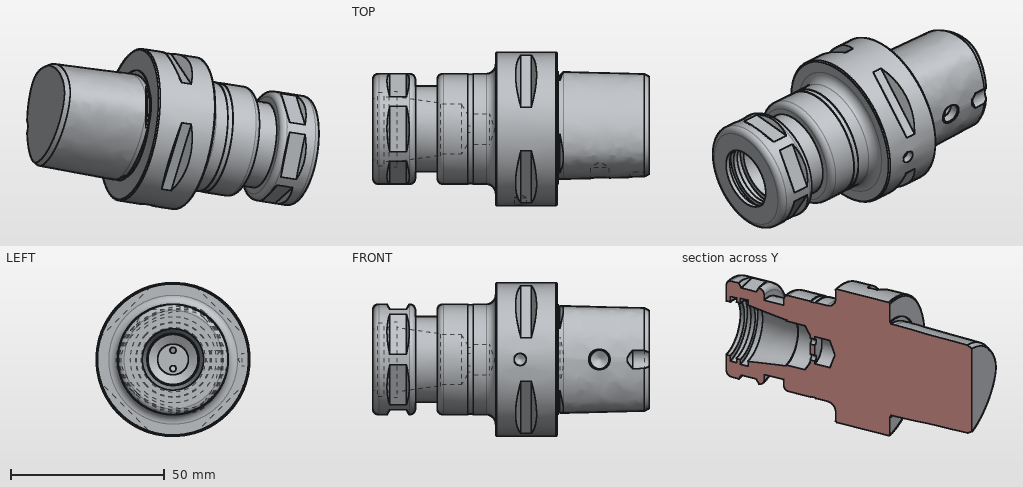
import cadquery as cq
import math


nut_end = 13.95
body_start = 21.0
flange_start = 40.0
flange_end = 60.0
collar_end = 60.3
relief_end = 60.9
taper_start = 61.9
shank_end = 90

nut_diameter = 36
neck_diameter = 28.0
body_diameter = 36
flange_diameter = 50.0
collar_diameter = 35.6
edge_radius = 2.0
flange_fillet = 3.0
flange_chamfer = 0.45

groove_start = 31.0
groove_end = 32.8
groove_depth = 0.2

shank_radius = 17.5
lobe_height = 1.125
shank_taper = 1 / 40
shank_chamfer_length = 1.6
shank_chamfer_depth = 0.9
relief_radius = 17.5
section_points = 36

wall_slope = math.radians(60)
nut_flat_count = 6
nut_flat_height = 16.4
nut_flat_start = 5.6
nut_flat_end = 11.0
flange_flat_count = 4
flange_flat_height = 22.0
flange_flat_start = 48.2
flange_flat_end = 51.6

front_lip_diameter = 20.0
front_lip_end = 1.5
front_groove_diameter = 24.0
rear_lip_start = 3.7
rear_lip_diameter = 21.0
rear_lip_end = 5.2
rear_groove_diameter = 24.5

seat_start = 7.9
seat_diameter = 21.0
seat_end_diameter = 17.0
seat_half_angle = math.radians(8)
bore_diameter = 16.3
bore_end = 28.8
web_diameter = 10.0
web_thickness = 1.8
chamber_length = 5.4
chamber_tip_half_angle = math.radians(70)
coolant_hole_diameter = 2.0
coolant_hole_offset = 3.0

drill_half_angle = math.radians(59)
flange_hole_x = 48.0
flange_hole_diameter = 4.0
flange_hole_depth = 2.7
shank_hole_x = 73.8
shank_hole_diameter = 6.1
shank_hole_depth = 3.6
shank_hole_chamfer = 0.45
notch_diameter = 7.0
notch_start = 84.6
notch_axis_y = -17.5
notch_half_angle = math.radians(45)


def revolve_about_x(outline):
    """Turn a closed outline of (x, radius) points about the X axis."""
    return outline.close().revolve(360, (0, 0, 0), (1, 0, 0))


def turned_body():
    nut_radius = nut_diameter / 2
    body_radius = body_diameter / 2
    flange_radius = flange_diameter / 2
    corner = edge_radius * math.sqrt(0.5)
    bend = flange_fillet * math.sqrt(0.5)
    fillet_start = flange_start - flange_fillet
    outline = (
        cq.Workplane("XY")
        .lineTo(0, nut_radius - edge_radius)
        .threePointArc((edge_radius - corner, nut_radius - edge_radius + corner), (edge_radius, nut_radius))
        .lineTo(nut_end - edge_radius, nut_radius)
        .threePointArc(
            (nut_end - edge_radius + corner, nut_radius - edge_radius + corner),
            (nut_end, nut_radius - edge_radius),
        )
        .lineTo(nut_end, neck_diameter / 2)
        .lineTo(body_start, neck_diameter / 2)
        .lineTo(body_start, body_radius - edge_radius)
        .threePointArc(
            (body_start + edge_radius - corner, body_radius - edge_radius + corner),
            (body_start + edge_radius, body_radius),
        )
        .lineTo(groove_start, body_radius)
        .lineTo(groove_start, body_radius - groove_depth)
        .lineTo(groove_end, body_radius - groove_depth)
        .lineTo(groove_end, body_radius)
        .lineTo(fillet_start, body_radius)
        .threePointArc(
            (fillet_start + bend, body_radius + flange_fillet - bend),
            (flange_start, body_radius + flange_fillet),
        )
        .lineTo(flange_start, flange_radius - flange_chamfer)
        .lineTo(flange_start + flange_chamfer, flange_radius)
        .lineTo(flange_end - flange_chamfer, flange_radius)
        .lineTo(flange_end, flange_radius - flange_chamfer)
        .lineTo(flange_end, collar_diameter / 2)
        .lineTo(collar_end, collar_diameter / 2)
        .lineTo(collar_end, 0)
    )
    return revolve_about_x(outline)


def lobe_points(radius):
    """Points around one shank section as (y, z), starting on the -Y side."""
    points = []
    for index in range(section_points):
        angle = math.pi + 2 * math.pi * index / section_points
        support = radius + lobe_height * math.cos(3 * angle)
        slope = -3 * lobe_height * math.sin(3 * angle)
        points.append(
            (
                support * math.cos(angle) - slope * math.sin(angle),
                support * math.sin(angle) + slope * math.cos(angle),
            )
        )
    return points


def shank():
    chamfer_start = shank_end - shank_chamfer_length
    tip_radius = shank_radius - shank_taper * (chamfer_start - taper_start)
    sections = (
        cq.Workplane("YZ", origin=(flange_end, 0, 0))
        .spline(lobe_points(shank_radius), periodic=True)
        .wire()
        .workplane(offset=taper_start - flange_end)
        .spline(lobe_points(shank_radius), periodic=True)
        .wire()
        .workplane(offset=chamfer_start - taper_start)
        .spline(lobe_points(tip_radius), periodic=True)
        .wire()
        .workplane(offset=shank_chamfer_length)
        .spline(lobe_points(tip_radius - shank_chamfer_depth), periodic=True)
        .wire()
    )
    solid = sections.loft(ruled=True)
    outside = flange_diameter / 2
    relief = revolve_about_x(
        cq.Workplane("XY")
        .moveTo(collar_end, relief_radius)
        .lineTo(relief_end, relief_radius)
        .lineTo(taper_start, relief_radius + taper_start - relief_end)
        .lineTo(taper_start, outside)
        .lineTo(collar_end, outside)
    )
    return solid.cut(relief)


def flats(count, first_angle, height, start, end, outer_diameter):
    """Flats around X at the given height, with side walls that flare outward."""
    depth = outer_diameter / 2 - height
    flare = depth / math.tan(wall_slope)
    cutter = (
        cq.Workplane("XZ")
        .moveTo(start, height)
        .lineTo(end, height)
        .lineTo(end + flare, height + depth)
        .lineTo(start - flare, height + depth)
        .close()
        .extrude(outer_diameter / 2, both=True)
    )
    cutters = cq.Workplane("XY")
    for index in range(count):
        cutters = cutters.add(cutter.rotate((0, 0, 0), (1, 0, 0), first_angle + index * 360 / count))
    return cutters.combine()


def nut_bore():
    return revolve_about_x(
        cq.Workplane("XY")
        .lineTo(0, front_lip_diameter / 2)
        .lineTo(front_lip_end, front_lip_diameter / 2)
        .lineTo(front_lip_end, front_groove_diameter / 2)
        .lineTo(rear_lip_start, front_groove_diameter / 2)
        .lineTo(rear_lip_start, rear_lip_diameter / 2)
        .lineTo(rear_lip_end, rear_lip_diameter / 2)
        .lineTo(rear_lip_end, rear_groove_diameter / 2)
        .lineTo(seat_start, rear_groove_diameter / 2)
        .lineTo(seat_start, 0)
    )


def collet_bore():
    seat_length = (seat_diameter - seat_end_diameter) / 2 / math.tan(seat_half_angle)
    tip_length = (bore_diameter - web_diameter) / 2 / math.tan(drill_half_angle)
    return revolve_about_x(
        cq.Workplane("XY")
        .moveTo(seat_start, 0)
        .lineTo(seat_start, seat_diameter / 2)
        .lineTo(seat_start + seat_length, seat_end_diameter / 2)
        .lineTo(seat_start + seat_length, bore_diameter / 2)
        .lineTo(bore_end, bore_diameter / 2)
        .lineTo(bore_end + tip_length, web_diameter / 2)
        .lineTo(bore_end + tip_length, 0)
    )


def coolant_passage():
    """Two holes through the web at the bore bottom, into a chamber with a conical end."""
    web_start = bore_end + (bore_diameter - web_diameter) / 2 / math.tan(drill_half_angle)
    chamber_start = web_start + web_thickness
    chamber_end = chamber_start + chamber_length
    chamber = revolve_about_x(
        cq.Workplane("XY")
        .moveTo(chamber_start, 0)
        .lineTo(chamber_start, web_diameter / 2)
        .lineTo(chamber_end, web_diameter / 2)
        .lineTo(chamber_end + web_diameter / 2 / math.tan(chamber_tip_half_angle), 0)
    )
    holes = (
        cq.Workplane("YZ", origin=(web_start, 0, 0))
        .pushPoints([(0, coolant_hole_offset), (0, -coolant_hole_offset)])
        .circle(coolant_hole_diameter / 2)
        .extrude(web_thickness)
    )
    return chamber.union(holes)


def drilled_hole(x, surface, diameter, depth):
    """Blind hole with a conical end, drilled toward +Y from y = -surface."""
    radius = diameter / 2
    bottom = depth - surface
    return (
        cq.Workplane("XY")
        .moveTo(x, -flange_diameter / 2)
        .lineTo(x + radius, -flange_diameter / 2)
        .lineTo(x + radius, bottom)
        .lineTo(x, bottom + radius / math.tan(drill_half_angle))
        .close()
        .revolve(360, (x, 0, 0), (x, 1, 0))
    )


def countersink(x, surface, diameter, chamfer):
    """Cone that breaks the rim of a hole by the chamfer size at y = -surface."""
    radius = diameter / 2 + chamfer
    return cq.Workplane(
        cq.Solid.makeCone(radius, 0, radius, cq.Vector(x, -surface, 0), cq.Vector(0, 1, 0))
    )


def end_notch():
    """Round notch along the -Y side of the shank end, with a conical start."""
    radius = notch_diameter / 2
    return (
        cq.Workplane("XY")
        .moveTo(notch_start - radius / math.tan(notch_half_angle), notch_axis_y)
        .lineTo(notch_start, notch_axis_y + radius)
        .lineTo(shank_end, notch_axis_y + radius)
        .lineTo(shank_end, notch_axis_y)
        .close()
        .revolve(360, (0, notch_axis_y, 0), (1, notch_axis_y, 0))
    )


shank_flank = shank_radius - lobe_height - shank_taper * (shank_hole_x - taper_start)

result = (
    turned_body()
    .union(shank())
    .cut(flats(nut_flat_count, 0, nut_flat_height, nut_flat_start, nut_flat_end, nut_diameter))
    .cut(flats(flange_flat_count, 45, flange_flat_height, flange_flat_start, flange_flat_end, flange_diameter))
    .cut(nut_bore())
    .cut(collet_bore())
    .cut(coolant_passage())
    .cut(drilled_hole(flange_hole_x, flange_diameter / 2, flange_hole_diameter, flange_hole_depth))
    .cut(drilled_hole(shank_hole_x, shank_flank, shank_hole_diameter, shank_hole_depth))
    .cut(countersink(shank_hole_x, shank_flank, shank_hole_diameter, shank_hole_chamfer))
    .cut(end_notch())
)